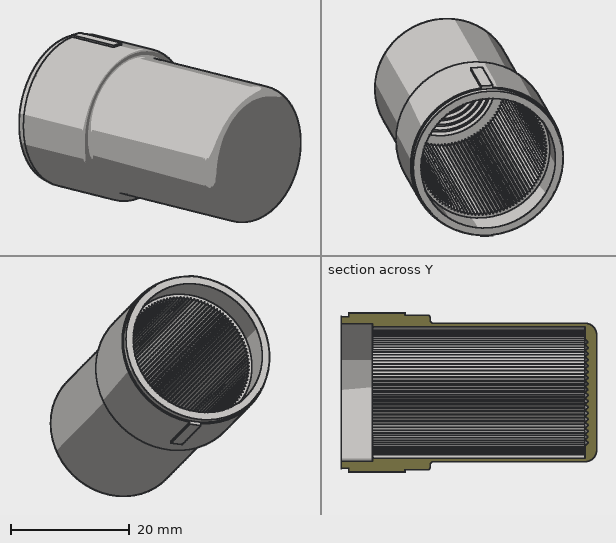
import cadquery as cq
import math

total_length = 43.0
lip_length = 1.25
collar_end = 15.0

lip_diameter = 25.63
collar_diameter = 26.14
body_diameter = 23.4

collar_fillet = 0.5
body_end_fillet = 2.0

rib_length = 9.5
rib_width = 2.0
height_over_ribs = 26.75
rib_embed = 0.3

mouth_diameter = 23.0
mouth_depth = 5.25
end_wall_thickness = 2.0
tooth_count = 112
tooth_root_diameter = 22.0
tooth_tip_diameter = 21.0
cutter_core_diameter = 20.0

groove_pitch = 1.0
groove_count = 9
groove_depth = 0.5

floor_x = total_length - end_wall_thickness


def groove_points():
    """Zigzag (X, radius) points from the outermost ridge in to the ridge point on the axis."""
    points = []
    for index in range(groove_count, 0, -1):
        ridge_radius = index * groove_pitch
        points.append((floor_x, ridge_radius))
        points.append((floor_x + groove_depth, ridge_radius - groove_pitch / 2))
    points.append((floor_x, 0))
    return points


def shell():
    """Cup turned about the X axis: outside, mouth, bore at the tooth tips and grooved end wall."""
    lip_radius = lip_diameter / 2
    collar_radius = collar_diameter / 2
    body_radius = body_diameter / 2
    collar_inset = collar_fillet * (1 - math.sqrt(0.5))
    end_inset = body_end_fillet * (1 - math.sqrt(0.5))
    collar_mid = (collar_end - collar_inset, collar_radius - collar_inset)
    root_mid = (collar_end + collar_inset, body_radius + collar_inset)
    end_mid = (total_length - end_inset, body_radius - end_inset)
    profile = (
        cq.Workplane("XY")
        .moveTo(0, mouth_diameter / 2)
        .lineTo(0, lip_radius)
        .lineTo(lip_length, lip_radius)
        .lineTo(lip_length, collar_radius)
        .lineTo(collar_end - collar_fillet, collar_radius)
        .threePointArc(collar_mid, (collar_end, collar_radius - collar_fillet))
        .lineTo(collar_end, body_radius + collar_fillet)
        .threePointArc(root_mid, (collar_end + collar_fillet, body_radius))
        .lineTo(total_length - body_end_fillet, body_radius)
        .threePointArc(end_mid, (total_length, body_radius - body_end_fillet))
        .lineTo(total_length, 0)
    )
    for x, radius in reversed(groove_points()):
        profile = profile.lineTo(x, radius)
    profile = (
        profile.lineTo(floor_x, tooth_tip_diameter / 2)
        .lineTo(mouth_depth, tooth_tip_diameter / 2)
        .lineTo(mouth_depth, mouth_diameter / 2)
        .close()
    )
    return profile.revolve(360, (0, 0, 0), (1, 0, 0))


def index_rib(side):
    """Flat-topped bar on the collar, at +Z for side 1 and at -Z for side -1."""
    height = (height_over_ribs - collar_diameter) / 2 + rib_embed
    middle_x = lip_length + rib_length / 2
    middle_z = side * (height_over_ribs - height) / 2
    return cq.Workplane("XY").box(rib_length, rib_width, height).translate((middle_x, 0, middle_z))


def tooth_spaces():
    """Ring-shaped cutter with a V point for each tooth space, one of them on the +Y axis."""
    points = []
    for index in range(2 * tooth_count):
        angle = math.pi * index / tooth_count
        diameter = tooth_root_diameter if index % 2 == 0 else tooth_tip_diameter
        points.append((diameter / 2 * math.cos(angle), diameter / 2 * math.sin(angle)))
    star = cq.Workplane("YZ", origin=(mouth_depth, 0, 0)).polyline(points).close()
    return star.circle(cutter_core_diameter / 2).extrude(floor_x - mouth_depth)


result = shell()
for side in (1, -1):
    result = result.union(index_rib(side))
result = result.cut(tooth_spaces())